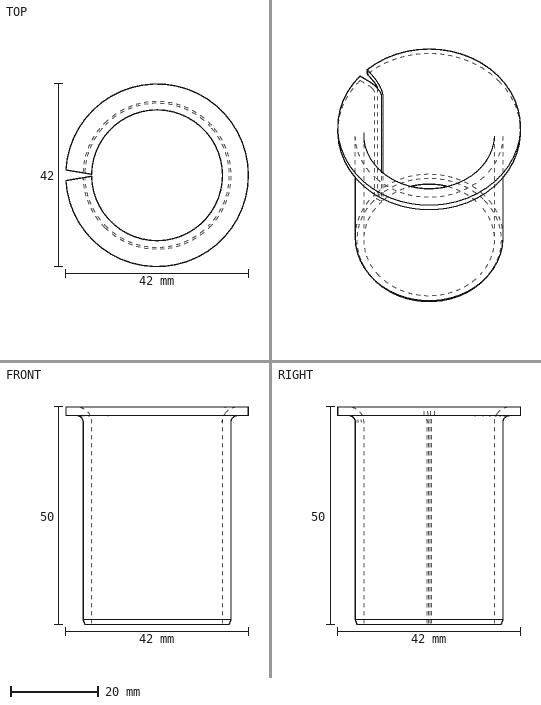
import cadquery as cq
import math

height = 50.0
bore_radius = 15.0
wall = 2.0
flange_radius = 21.0
outer_bend_radius = 1.5
chamfer_height = 1.15
chamfer_angle = 20.0
split_inner_width = 0.4
split_outer_width = 2.4

body_radius = bore_radius + wall
inner_bend_radius = outer_bend_radius + wall
bend_center_radius = bore_radius + inner_bend_radius
bend_center_height = height - inner_bend_radius
chamfer_width = chamfer_height * math.tan(math.radians(chamfer_angle))


def bend_midpoint(radius):
    """Middle of the quarter arc that turns the wall outward into the flange."""
    offset = radius * math.sqrt(0.5)
    return bend_center_radius - offset, bend_center_height + offset


def flanged_sleeve():
    """Wall section of constant thickness revolved about the Z axis."""
    return (
        cq.Workplane("XZ")
        .moveTo(bore_radius, 0)
        .lineTo(body_radius - chamfer_width, 0)
        .lineTo(body_radius, chamfer_height)
        .lineTo(body_radius, bend_center_height)
        .threePointArc(bend_midpoint(outer_bend_radius), (bend_center_radius, height - wall))
        .lineTo(flange_radius, height - wall)
        .lineTo(flange_radius, height)
        .lineTo(bend_center_radius, height)
        .threePointArc(bend_midpoint(inner_bend_radius), (bore_radius, bend_center_height))
        .close()
        .revolve(360, (0, 0), (0, 1))
    )


def split_wedge():
    """Full-height wedge on the -X side that widens toward the flange rim."""
    half_slope = (split_outer_width - split_inner_width) / 2 / (flange_radius - bore_radius)
    tip_radius = bore_radius - split_inner_width / 2 / half_slope
    far_radius = 2 * flange_radius
    far_half_width = (far_radius - tip_radius) * half_slope
    return (
        cq.Workplane("XY")
        .moveTo(-tip_radius, 0)
        .lineTo(-far_radius, far_half_width)
        .lineTo(-far_radius, -far_half_width)
        .close()
        .extrude(height)
    )


result = flanged_sleeve().cut(split_wedge())